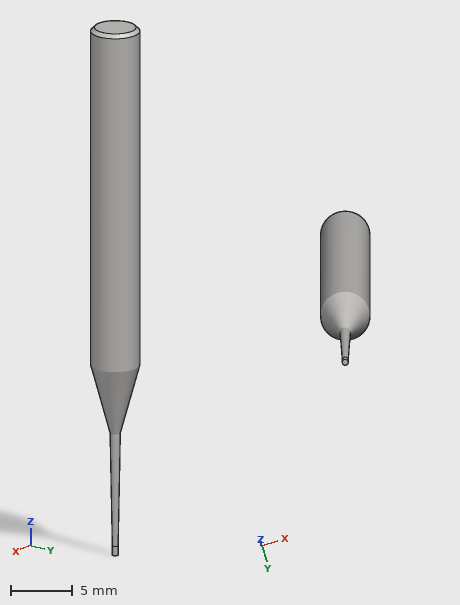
import cadquery as cq

total_length = 45.0
cutter_length = 0.8
neck_top = 10.1
collar_top = 10.4
shank_bottom = 16.25

shank_radius = 4.0 / 2
shank_chamfer = 0.3
collar_radius = 0.42
cutter_radius = 0.248


def make_shank():
    """Chamfered shank, cone, short collar and tapered neck, revolved about Z."""
    return (
        cq.Workplane("XZ")
        .moveTo(0, cutter_length)
        .lineTo(cutter_radius, cutter_length)
        .lineTo(collar_radius, neck_top)
        .lineTo(collar_radius, collar_top)
        .lineTo(shank_radius, shank_bottom)
        .lineTo(shank_radius, total_length - shank_chamfer)
        .lineTo(shank_radius - shank_chamfer, total_length)
        .lineTo(0, total_length)
        .close()
        .revolve()
    )


def make_cutter():
    """Cylindrical cutting end that meets the bottom of the neck."""
    return cq.Workplane("XY").circle(cutter_radius).extrude(cutter_length)


shank = make_shank()
cutter = make_cutter()

result = cq.Compound.makeCompound([shank.val(), cutter.val()])